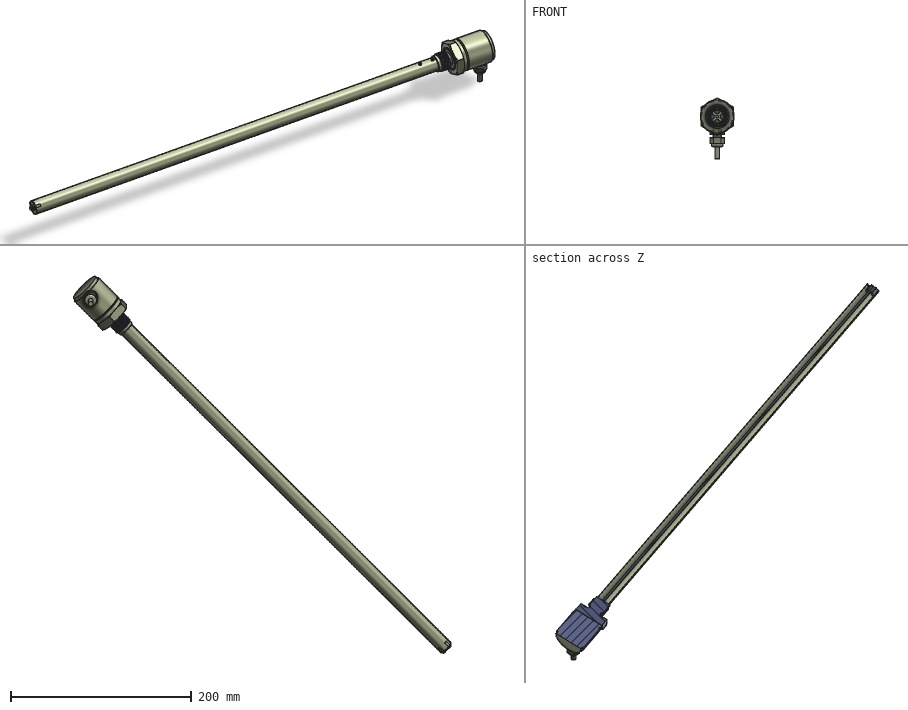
import cadquery as cq


total_length = 577.5
housing_diameter = 37.5
hexagon_corner_diameter = 41.5
cable_end_depth = 47.0

housing_back = 48.7
housing_front = 14.0
housing_radius = housing_diameter / 2
lid_step_radius = 17.25
lid_step_length = 3.5
shell_edge_chamfer = 1.5
neck_radius = 18.5

hexagon_flats = 36.0
hexagon_length = 9.5
hexagon_chamfer_radius = 18.5
hexagon_chamfer_length = 1.2
seal_groove_outer_radius = 13.25
seal_groove_inner_radius = 11.75
seal_groove_depth = 1.0
thread_radius = 20.955 / 2
thread_root_radius = 18.631 / 2
thread_pitch = 1.814
thread_turns = 6
relief_radius = 7.75
relief_length = 3.3
collar_front = -17.6

tube_radius = 8.0
tube_bore_radius = 7.0
tip_protrusion = 1.5
tip_y = housing_back - total_length
tube_end = tip_y + tip_protrusion
tube_end_chamfer = 0.5
vent_radius = 1.6
first_vent_y = -21.3
vent_spacing = 15.5

electrode_radius = 1.5
electrode_recess = 0.5
star_hub_radius = 3.5
star_arm_width = 3.0
star_length = 8.0
star_arm_angles = (45, 135)
star_arm_span = 3 * tube_bore_radius

gland_y = 38.8
gland_boss_radius = 8.0
gland_boss_bottom = -19.8
gland_boss_socket = -15.0
gland_neck_radius = 4.5
gland_nut_top = -23.3
gland_nut_bottom = -30.0
gland_nut_flats = 14.0
gland_nose_radius = 6.5
gland_nose_bottom = -33.6
gland_nose_round = 2.0
cable_radius = 2.75


def rod_along_y(radius, y_front, y_back):
    """Cylinder on the probe axis between two Y positions."""
    return cq.Workplane("XZ", origin=(0, y_back, 0)).circle(radius).extrude(y_back - y_front)


def rod_along_z(radius, z_bottom, z_top):
    """Vertical cylinder on the cable gland axis."""
    return cq.Workplane("XY", origin=(0, gland_y, z_bottom)).circle(radius).extrude(z_top - z_bottom)


def make_housing():
    lid = rod_along_y(lid_step_radius, housing_front, housing_back)
    shell = rod_along_y(housing_radius, housing_front, housing_back - lid_step_length)
    shell = shell.faces("<Y").chamfer(shell_edge_chamfer)
    neck = rod_along_y(neck_radius, hexagon_length, housing_front)
    gland_boss = rod_along_z(gland_boss_radius, gland_boss_bottom, 0)
    gland_hole = rod_along_z(gland_neck_radius, gland_boss_bottom, gland_boss_socket)
    return lid.union(shell).union(neck).union(gland_boss).cut(gland_hole)


def make_hexagon():
    """Hexagon with a corner on +Z, its corners turned down and chamfered at both ends."""
    prism = (
        cq.Workplane("XZ", origin=(0, hexagon_length, 0))
        .polygon(6, hexagon_flats, circumscribed=True)
        .extrude(hexagon_length)
    )
    corner_radius = hexagon_corner_diameter / 2
    turned_profile = [
        (0, 0),
        (hexagon_chamfer_radius, 0),
        (corner_radius, hexagon_chamfer_length),
        (corner_radius, hexagon_length - hexagon_chamfer_length),
        (hexagon_chamfer_radius, hexagon_length),
        (0, hexagon_length),
    ]
    turned = cq.Workplane("XY").polyline(turned_profile).close().revolve(360, (0, 0), (0, 1))
    return prism.intersect(turned)


def make_stem():
    """Relief, threaded length drawn as a stack of V ridges, and a plain collar ahead of it."""
    profile = [
        (0, 0),
        (relief_radius, 0),
        (relief_radius, -relief_length),
        (thread_root_radius, -relief_length),
    ]
    for turn in range(thread_turns):
        ridge_start = -relief_length - turn * thread_pitch
        profile.append((thread_radius, ridge_start - thread_pitch / 2))
        profile.append((thread_root_radius, ridge_start - thread_pitch))
    profile += [(thread_root_radius, collar_front), (0, collar_front)]
    return cq.Workplane("XY").polyline(profile).close().revolve(360, (0, 0), (0, 1))


def make_tube():
    """Probe tube with a chamfered open end and two vent holes through its upper wall."""
    tube = rod_along_y(tube_radius, tube_end, collar_front).faces("<Y").chamfer(tube_end_chamfer)
    tube = tube.cut(rod_along_y(tube_bore_radius, tube_end, collar_front))
    for vent_y in (first_vent_y, first_vent_y - vent_spacing):
        vent = cq.Workplane("XY", origin=(0, vent_y, 0)).circle(vent_radius).extrude(tube_radius)
        tube = tube.cut(vent)
    return tube


def make_fitting():
    """Hexagon with a ring groove for the seal, joined to the stem and the probe tube in one piece."""
    groove = rod_along_y(seal_groove_outer_radius, 0, seal_groove_depth)
    groove = groove.cut(rod_along_y(seal_groove_inner_radius, 0, seal_groove_depth))
    return make_hexagon().cut(groove).union(make_stem()).union(make_tube())


def make_electrode():
    """Rod whose tip carries a hub with four diagonal arms that bear on the tube bore."""
    star_back = tip_y + star_length
    arms = cq.Workplane("XZ", origin=(0, star_back, 0)).rect(star_arm_span, star_arm_width)
    arms = arms.extrude(star_length)
    star = rod_along_y(star_hub_radius, tip_y, star_back)
    for angle in star_arm_angles:
        star = star.union(arms.rotate((0, 0, 0), (0, 1, 0), angle))
    star = star.intersect(rod_along_y(tube_bore_radius, tip_y, star_back))
    star = star.cut(rod_along_y(electrode_radius, tip_y, tip_y + electrode_recess))
    return star.union(rod_along_y(electrode_radius, tip_y + electrode_recess, collar_front))


def make_cable_gland():
    neck = rod_along_z(gland_neck_radius, gland_nut_top, gland_boss_socket)
    nut = (
        cq.Workplane("XY", origin=(0, gland_y, gland_nut_bottom))
        .polygon(6, gland_nut_flats, circumscribed=True)
        .extrude(gland_nut_top - gland_nut_bottom)
        .rotate((0, gland_y, 0), (0, gland_y, 1), 90)
    )
    nose = rod_along_z(gland_nose_radius, gland_nose_bottom, gland_nut_bottom)
    nose = nose.faces("<Z").edges().fillet(gland_nose_round)
    cable = rod_along_z(cable_radius, -cable_end_depth, gland_nose_bottom)
    return neck.union(nut).union(nose).union(cable)


housing = make_housing()
fitting = make_fitting()
electrode = make_electrode()
cable_gland = make_cable_gland()

result = cq.Compound.makeCompound(
    [housing.val(), fitting.val(), electrode.val(), cable_gland.val()]
)